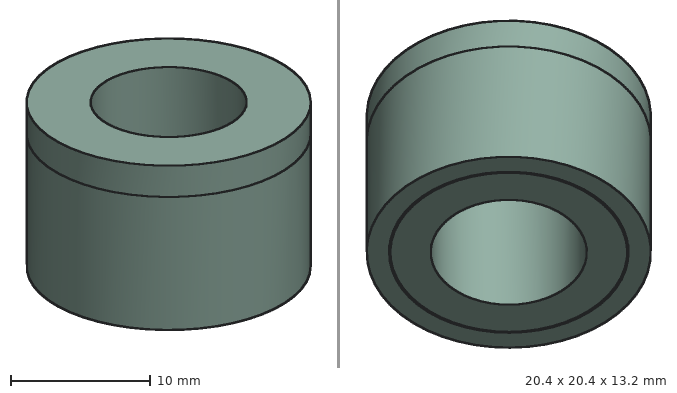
import cadquery as cq

outer_diameter = 20.4
bore_diameter = 11.2
total_height = 13.2

flange_height = 2.5
sleeve_diameter = 17.0
collar_bore_diameter = 17.2

bottom = -total_height / 2
collar_height = total_height - flange_height
flange_bottom = bottom + collar_height


def ring(outside_diameter, inside_diameter, height, start):
    """Plain ring around the Z axis, rising from the level start."""
    return (
        cq.Workplane("XY")
        .workplane(offset=start)
        .circle(outside_diameter / 2)
        .circle(inside_diameter / 2)
        .extrude(height)
    )


def make_bushing():
    """Flanged sleeve with one bore through its full height."""
    sleeve = ring(sleeve_diameter, bore_diameter, total_height, bottom)
    flange = ring(outer_diameter, bore_diameter, flange_height, flange_bottom)
    return sleeve.union(flange, clean=True)


def make_collar():
    """Ring around the sleeve, touching the underside of the flange."""
    return ring(outer_diameter, collar_bore_diameter, collar_height, bottom)


bushing = make_bushing()
collar = make_collar()

result = cq.Compound.makeCompound([bushing.val(), collar.val()])